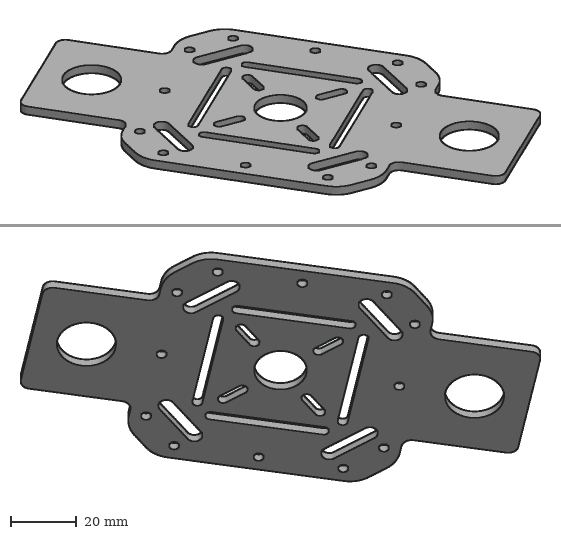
import cadquery as cq

overall_length = 154.0
thickness = 3.0

body_size = 84.0
body_chamfer = 10.5
body_corner_radius = 10.0

tab_width = 42.8
tab_corner_radius = 3.1
inner_corner_radius = 3.1

center_hole_diameter = 16.0
tab_hole_diameter = 18.0
tab_hole_offset = 60.0
screw_hole_diameter = 3.1
screw_hole_edge_offset = 36.8
screw_hole_side_offset = 26.2

frame_slot_length = 38.2
frame_slot_width = 3.1
frame_slot_offset = 22.5
corner_slot_length = 19.9
corner_slot_width = 5.0
corner_slot_offset = screw_hole_side_offset
inner_slot_length = 10.3
inner_slot_width = 3.2
inner_slot_offset = 12.5

SIGNS = (-1, 1)


def make_body():
    """Square plate whose cut-off corners blend smoothly into the sides."""
    square = cq.Workplane("XY").rect(body_size, body_size).extrude(thickness)
    octagon = square.edges("|Z").chamfer(body_chamfer)
    return octagon.edges("|Z").fillet(body_corner_radius)


def make_tab_strip():
    """Strip with rounded ends that forms both tabs."""
    strip = cq.Workplane("XY").rect(overall_length, tab_width).extrude(thickness)
    return strip.edges("|Z").fillet(tab_corner_radius)


def round_inner_corners(plate):
    """Fillet the four inner corners where the tabs meet the body."""
    for x_sign in SIGNS:
        for y_sign in SIGNS:
            corner = (x_sign * body_size / 2, y_sign * tab_width / 2, thickness / 2)
            inner_edge = plate.edges("|Z").edges(cq.selectors.NearestToPointSelector(corner))
            plate = inner_edge.fillet(inner_corner_radius)
    return plate


def round_holes(points, diameter):
    """Through-hole cutters at the given points."""
    return cq.Workplane("XY").pushPoints(points).circle(diameter / 2).extrude(thickness)


def slots(points, length, width, angle):
    """Through-slot cutters at the given points, turned by angle degrees from X."""
    return cq.Workplane("XY").pushPoints(points).slot2D(length, width, angle).extrude(thickness)


def cut_screw_holes(plate):
    """Three small holes near each side of the body."""
    points = []
    for edge_sign in SIGNS:
        edge_position = edge_sign * screw_hole_edge_offset
        for side_step in (-1, 0, 1):
            side_position = side_step * screw_hole_side_offset
            points.append((edge_position, side_position))
            points.append((side_position, edge_position))
    return plate.cut(round_holes(points, screw_hole_diameter))


def cut_large_holes(plate):
    """Centre hole and one hole in each tab."""
    tab_points = [(sign * tab_hole_offset, 0) for sign in SIGNS]
    plate = plate.cut(round_holes([(0, 0)], center_hole_diameter))
    return plate.cut(round_holes(tab_points, tab_hole_diameter))


def cut_frame_slots(plate):
    """Four thin slots that frame a square around the centre."""
    along_x = [(0, sign * frame_slot_offset) for sign in SIGNS]
    along_y = [(sign * frame_slot_offset, 0) for sign in SIGNS]
    plate = plate.cut(slots(along_x, frame_slot_length, frame_slot_width, 0))
    return plate.cut(slots(along_y, frame_slot_length, frame_slot_width, 90))


def cut_diagonal_slots(plate):
    """Inner slots point at the centre; corner slots lie across the diagonals."""
    for x_sign in SIGNS:
        for y_sign in SIGNS:
            diagonal_angle = 45 * x_sign * y_sign
            inner_point = (x_sign * inner_slot_offset, y_sign * inner_slot_offset)
            corner_point = (x_sign * corner_slot_offset, y_sign * corner_slot_offset)
            plate = plate.cut(slots([inner_point], inner_slot_length, inner_slot_width, diagonal_angle))
            plate = plate.cut(slots([corner_point], corner_slot_length, corner_slot_width, -diagonal_angle))
    return plate


plate = make_body().union(make_tab_strip())
plate = round_inner_corners(plate)
plate = cut_large_holes(plate)
plate = cut_screw_holes(plate)
plate = cut_frame_slots(plate)
result = cut_diagonal_slots(plate)